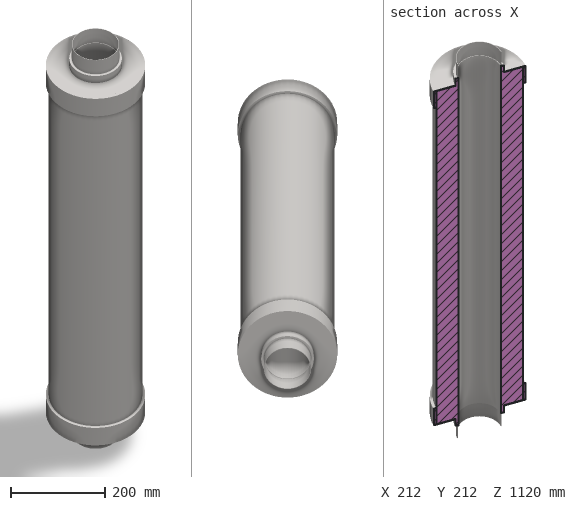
import cadquery as cq

total_length = 1120.0
casing_radius = 100.0
band_diameter = 212.0
band_height = 50.0

end_length = 60.0
collar_height = 20.0
collar_radius = 56.0
spigot_radius = 50.0
spigot_bore_radius = 49.0
passage_radius = 48.0

casing_top = total_length / 2 - end_length
collar_top = casing_top + collar_height
spigot_length = end_length - collar_height


def cylinder(radius, bottom, height):
    """Solid cylinder on the Z axis, standing on the given level."""
    return cq.Workplane("XY").workplane(offset=bottom).circle(radius).extrude(height)


def make_casing():
    """Long casing with a collar and spigot at both ends and a through passage."""
    body = cylinder(casing_radius, -casing_top, 2 * casing_top)
    body = body.union(cylinder(collar_radius, -collar_top, 2 * collar_top))
    body = body.union(cylinder(spigot_radius, -total_length / 2, total_length))
    body = body.cut(cylinder(passage_radius, -total_length / 2, total_length))
    for bottom in (-total_length / 2, collar_top):
        body = body.cut(cylinder(spigot_bore_radius, bottom, spigot_length))
    return body


def make_end_band(bottom):
    """Ring fitted around one end of the casing."""
    ring = cylinder(band_diameter / 2, bottom, band_height)
    return ring.cut(cylinder(casing_radius, bottom, band_height))


casing = make_casing()
end_bands = [make_end_band(bottom) for bottom in (-casing_top, casing_top - band_height)]

result = cq.Compound.makeCompound([casing.val(), *[band.val() for band in end_bands]])